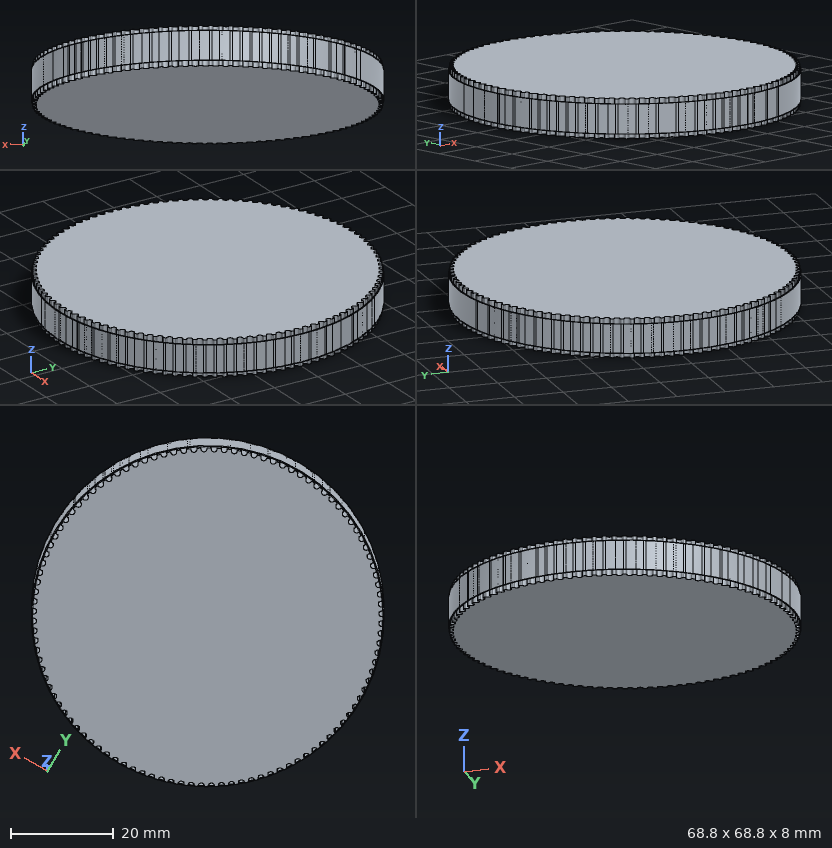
import cadquery as cq
import math

tooth_count = 108
wheel_width = 8.0
band_diameter = 68.75
band_thickness = 0.255
band_width = 6.0
groove_radius = 0.565
tip_rounding = 0.185

band_radius = band_diameter / 2
tip_radius = band_radius - band_thickness
tooth_pitch_angle = 2 * math.pi / tooth_count

groove_half_mouth = groove_radius + tip_rounding
mouth_depth = tip_radius - math.sqrt(tip_radius**2 - groove_half_mouth**2)
corner_depth = mouth_depth + tip_rounding
groove_depth = corner_depth + groove_radius


def groove_point(angle, across, depth):
    """Point in a groove centred at angle: sideways offset and depth below the tooth tips."""
    radial = tip_radius - depth
    x = radial * math.cos(angle) - across * math.sin(angle)
    y = radial * math.sin(angle) + across * math.cos(angle)
    return (x, y)


def corner_points(angle, side):
    """Tip end, middle and groove end of the rounded tooth corner on one side of a groove."""
    middle_offset = tip_rounding * math.sqrt(0.5)
    tip = groove_point(angle, side * groove_half_mouth, mouth_depth)
    middle = groove_point(
        angle,
        side * (groove_half_mouth - middle_offset),
        corner_depth - middle_offset,
    )
    groove_end = groove_point(angle, side * groove_radius, corner_depth)
    return tip, middle, groove_end


def toothed_disc():
    """Disc with round-bottomed tooth spaces; a tooth is centred on the +X axis."""
    first_tip, _, _ = corner_points(-tooth_pitch_angle / 2, 1)
    outline = cq.Workplane("XY").workplane(offset=-wheel_width / 2).moveTo(*first_tip)
    for index in range(tooth_count):
        tooth_angle = index * tooth_pitch_angle
        groove_angle = tooth_angle + tooth_pitch_angle / 2
        tooth_top = (tip_radius * math.cos(tooth_angle), tip_radius * math.sin(tooth_angle))
        start_tip, start_middle, start_groove = corner_points(groove_angle, -1)
        end_tip, end_middle, end_groove = corner_points(groove_angle, 1)
        outline = (
            outline.threePointArc(tooth_top, start_tip)
            .threePointArc(start_middle, start_groove)
            .threePointArc(groove_point(groove_angle, 0, groove_depth), end_groove)
            .threePointArc(end_middle, end_tip)
        )
    return outline.close().extrude(wheel_width)


def band():
    """Thin ring centred on the wheel width, touching every tooth tip."""
    return (
        cq.Workplane("XY")
        .workplane(offset=-band_width / 2)
        .circle(band_radius)
        .circle(tip_radius)
        .extrude(band_width)
    )


result = toothed_disc().union(band())